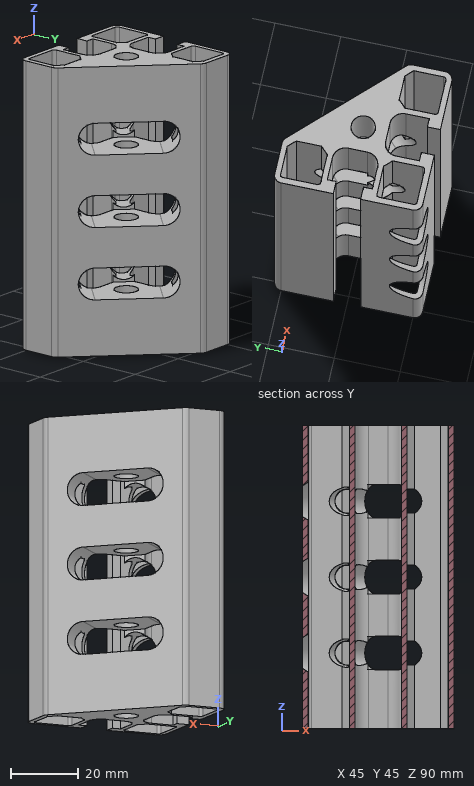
import cadquery as cq
import math

length = 90.0
side = 45.0
cut_sum = 58.5
outer_radius = 2.5
bore_diameter = 7.2

wall = 1.8
chamber_size = 12.15
chamber_radius = 0.9
chamber_chamfer = 2.25

slot_opening = 8.3
slot_lip = 4.0
slot_width = 13.7
slot_depth = 15.0
slot_radius = 4.0

hole_pitch = 22.5
hole_count = 3
access_diameter = 13.5
screw_diameter = 8.5
recess_width = 9.9
recess_length = 30.2
recess_floor_sum = 34.6

middle = side / 2


def make_body():
    """Solid bar with rounded outer edges."""
    cut_end = cut_sum - side
    outline = [(0, 0), (side, 0), (side, cut_end), (cut_end, side), (0, side)]
    bar = cq.Workplane("XY").polyline(outline).close().extrude(length)
    return bar.edges("|Z").fillet(outer_radius)


def make_bar(x, y, size_x, size_y):
    """Full-length rectangular bar centred on (x, y)."""
    return cq.Workplane("XY").center(x, y).rect(size_x, size_y).extrude(length)


def make_chamber(x, y, chamfered_corners):
    """Square chamber with its low corner at (x, y).

    Each entry of chamfered_corners gives the X and Y signs of a corner as seen
    from the chamber centre. The other corners are rounded.
    """
    half = chamber_size / 2
    center_x = x + half
    center_y = y + half
    chamber = make_bar(center_x, center_y, chamber_size, chamber_size)
    for sign_x in (-1, 1):
        for sign_y in (-1, 1):
            edge_middle = (center_x + sign_x * half, center_y + sign_y * half, length / 2)
            edge = chamber.edges(cq.selectors.NearestToPointSelector(edge_middle))
            if (sign_x, sign_y) in chamfered_corners:
                chamber = edge.chamfer(chamber_chamfer)
            else:
                chamber = edge.fillet(chamber_radius)
    return chamber


def make_slot():
    """T-slot that opens on the Y = 0 side."""
    room_depth = slot_depth - slot_lip
    room = make_bar(middle, slot_lip + room_depth / 2, slot_width, room_depth)
    room = room.edges("|Z and >Y").fillet(slot_radius)
    mouth = make_bar(middle, slot_lip / 2, slot_opening, slot_lip)
    return room.union(mouth)


def swap_xy(shape):
    """Exchange X and Y of a shape: mirror in Y, then a quarter turn about Z."""
    return shape.mirror("XZ").rotate((0, 0, 0), (0, 0, 1), 90)


def diagonal_plane(coordinate_sum, z):
    """Workplane on x + y = coordinate_sum, centred on the diagonal, facing the slanted face."""
    origin = (coordinate_sum / 2, coordinate_sum / 2, z)
    return cq.Workplane(cq.Plane(origin, (-1, 1, 0), (1, 1, 0)))


def diagonal_distance(from_sum, to_sum):
    """Distance between the planes x + y = from_sum and x + y = to_sum."""
    return (to_sum - from_sum) / math.sqrt(2)


def make_screw_hole(z):
    """Access hole in the square corner, screw hole, and long recess in the slanted face."""
    access_end_sum = 2 * wall + chamber_size
    access = diagonal_plane(0, z).circle(access_diameter / 2)
    access = access.extrude(diagonal_distance(0, access_end_sum))
    screw = diagonal_plane(access_end_sum, z).circle(screw_diameter / 2)
    screw = screw.extrude(diagonal_distance(access_end_sum, cut_sum))
    recess = diagonal_plane(recess_floor_sum, z).slot2D(recess_length, recess_width)
    recess = recess.extrude(diagonal_distance(recess_floor_sum, cut_sum))
    return access.union(screw).union(recess)


result = make_body()

far = side - wall - chamber_size
result = result.cut(make_chamber(wall, wall, [(1, 1)]))
result = result.cut(make_chamber(far, wall, [(-1, 1), (1, 1)]))
result = result.cut(make_chamber(wall, far, [(1, -1), (1, 1)]))

slot = make_slot()
result = result.cut(slot)
result = result.cut(swap_xy(slot))

bore = cq.Workplane("XY").center(middle, middle).circle(bore_diameter / 2).extrude(length)
result = result.cut(bore)

for index in range(hole_count):
    hole_z = length / 2 + (index - (hole_count - 1) / 2) * hole_pitch
    result = result.cut(make_screw_hole(hole_z))